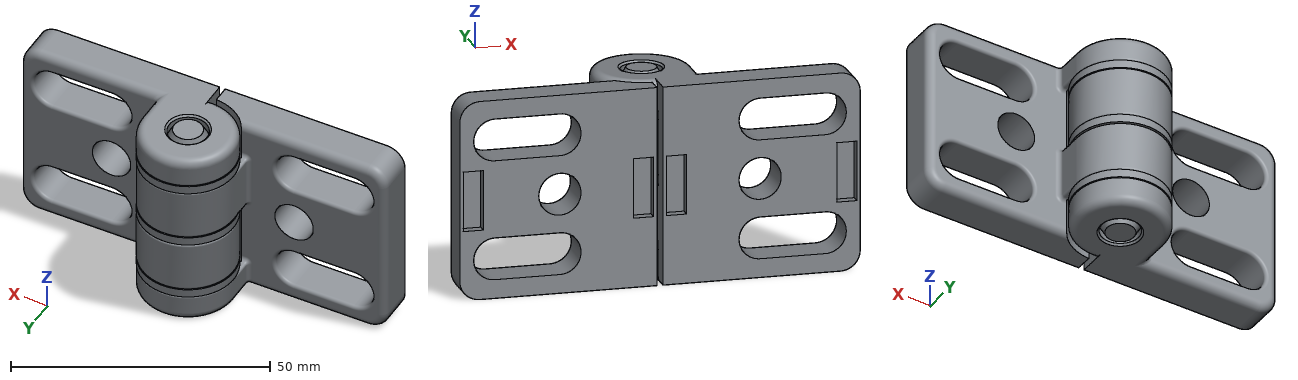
import cadquery as cq
import math

half_width = 40.0
height = 40.0
half_height = height / 2
plate_thickness = 8.0
corner_radius = 4.0
edge_fillet = 1.75
leaf_gap = 1.2
leaf_start = leaf_gap / 2

barrel_radius = 10.0
axis_y = 14.0
barrel_bottom_y = axis_y - barrel_radius
knuckle_end_fillet = 0.5
valley_fillet = 1.0

recess_radius = barrel_radius + 0.4
recess_fillet = 0.35

pin_radius = 4.1
pin_end_radius = 3.0
pin_taper_length = 2.0
bore_chamfer = 0.4

washer_thickness = 1.8
washer_radius = barrel_radius
end_knuckle_height = 6.0
middle_gap_half = 1.0
end_knuckle_inner_z = half_height - end_knuckle_height
middle_knuckle_outer_z = end_knuckle_inner_z - washer_thickness
end_knuckle = (end_knuckle_inner_z, half_height)
middle_knuckle = (-middle_knuckle_outer_z, -middle_gap_half)
washer_tops = (end_knuckle_inner_z, middle_gap_half, -middle_knuckle_outer_z)

hole_diameter = 8.4
hole_x = 20.0
slot_outer_x = 33.0
slot_middle_x = (hole_x + slot_outer_x) / 2
slot_length = slot_outer_x - hole_x + hole_diameter
slot_z = 12.0
slot_fillet = 0.75

pocket_width = 4.0
pocket_height = 12.0
pocket_depth = 2.0
pocket_spread = 34.0
leaf_middle_x = (leaf_start + half_width) / 2
pocket_centers = [(leaf_middle_x + side * pocket_spread / 2, 0) for side in (-1, 1)]

pick = 0.1


def axis_cylinder(radius, z_bottom, z_top):
    """Solid cylinder on the hinge axis."""
    base = cq.Workplane("XY", origin=(0, axis_y, z_bottom))
    return base.circle(radius).extrude(z_top - z_bottom)


def edges_except(face_edges, low, high):
    """The given edges, less those centred in the box from low to high."""
    unwanted = face_edges.edges(cq.selectors.BoxSelector(low, high)).vals()
    return face_edges.filter(lambda edge: not any(edge.isSame(other) for other in unwanted))


def make_plate():
    """Flat plate with rounded outer corners and a rounded back rim on three sides."""
    plate = (
        cq.Workplane("XY", origin=(leaf_start, 0, -half_height))
        .box(half_width - leaf_start, plate_thickness, height, centered=False)
        .edges(">X and |Y")
        .fillet(corner_radius)
    )
    rim = edges_except(
        plate.faces(">Y").edges(),
        (leaf_start - pick, plate_thickness - pick, -pick),
        (leaf_start + pick, plate_thickness + pick, pick),
    )
    return rim.fillet(edge_fillet)


def make_knuckle(z_range, bottom_fillet, top_fillet):
    """Round knuckle whose straight side runs down into the plate."""
    z_bottom, z_top = z_range
    diagonal = barrel_radius * math.sqrt(0.5)
    knuckle = (
        cq.Workplane("XY", origin=(0, 0, z_bottom))
        .moveTo(leaf_start, barrel_bottom_y)
        .lineTo(0, barrel_bottom_y)
        .threePointArc((-diagonal, axis_y + diagonal), (barrel_radius, axis_y))
        .lineTo(barrel_radius, barrel_bottom_y)
        .close()
        .extrude(z_top - z_bottom)
    )
    for face, radius in (("<Z", bottom_fillet), (">Z", top_fillet)):
        rim = edges_except(
            knuckle.faces(face).edges(),
            (leaf_start + pick, barrel_bottom_y - pick, z_bottom - pick),
            (barrel_radius - pick, barrel_bottom_y + pick, z_top + pick),
        )
        knuckle = rim.fillet(radius)
    return knuckle


def round_valley(leaf):
    """Fillet the corner where the straight knuckle sides meet the plate."""
    valley = cq.selectors.BoxSelector(
        (barrel_radius - pick, plate_thickness - pick, -half_height),
        (barrel_radius + pick, plate_thickness + pick, half_height),
    )
    return leaf.edges("|Z").edges(valley).fillet(valley_fillet)


def cut_recesses(leaf):
    """Round recesses for the washers and for the other leaf's knuckles."""
    lower = (-half_height - end_knuckle_height, middle_knuckle[0])
    upper = (middle_knuckle[1], end_knuckle[0])
    for z_range in (lower, upper):
        recess = axis_cylinder(recess_radius, *z_range).edges("%CIRCLE").fillet(recess_fillet)
        leaf = leaf.cut(recess)
    return leaf


def cut_bore(leaf):
    """Pin bore with a small chamfer at the leaf's own end of the barrel."""
    leaf = leaf.cut(axis_cylinder(pin_radius, -half_height, half_height))
    mouth = (
        cq.Workplane("XY", origin=(0, axis_y, half_height))
        .circle(pin_radius + bore_chamfer)
        .workplane(offset=-bore_chamfer)
        .circle(pin_radius)
        .loft()
    )
    return leaf.cut(mouth)


def cut_mounting_holes(leaf):
    """Round hole, and two slots with rounded rims on the back face."""
    hole = cq.Workplane("XZ").center(hole_x, 0).circle(hole_diameter / 2)
    leaf = leaf.cut(hole.extrude(-plate_thickness))
    half_slot = hole_diameter / 2
    for z in (-slot_z, slot_z):
        slot = cq.Workplane("XZ").center(slot_middle_x, z).slot2D(slot_length, hole_diameter)
        leaf = leaf.cut(slot.extrude(-plate_thickness))
        rim = cq.selectors.BoxSelector(
            (slot_middle_x - slot_length / 2 - pick, plate_thickness - pick, z - half_slot - pick),
            (slot_middle_x + slot_length / 2 + pick, plate_thickness + pick, z + half_slot + pick),
            boundingbox=True,
        )
        leaf = leaf.edges(rim).fillet(slot_fillet)
    return leaf


def cut_pockets(leaf):
    """Two shallow rectangular pockets in the mounting face."""
    pockets = cq.Workplane("XZ").pushPoints(pocket_centers).rect(pocket_width, pocket_height)
    return leaf.cut(pockets.extrude(-pocket_depth))


def make_leaf():
    """Leaf on the +X side, with the top knuckle and the lower middle one."""
    leaf = make_plate()
    leaf = leaf.union(make_knuckle(end_knuckle, knuckle_end_fillet, edge_fillet))
    leaf = leaf.union(make_knuckle(middle_knuckle, knuckle_end_fillet, knuckle_end_fillet))
    leaf = round_valley(leaf)
    leaf = cut_recesses(leaf)
    leaf = cut_bore(leaf)
    leaf = cut_mounting_holes(leaf)
    return cut_pockets(leaf)


def make_pin():
    """Hinge pin with a tapered tip at each end."""
    return (
        axis_cylinder(pin_radius, -half_height, half_height)
        .faces("<Z or >Z")
        .edges()
        .chamfer(pin_taper_length, pin_radius - pin_end_radius)
    )


def make_washer(z_top):
    """Washer around the pin, seated against the knuckle above it."""
    z_bottom = z_top - washer_thickness
    bore = axis_cylinder(pin_radius, z_bottom, z_top)
    return axis_cylinder(washer_radius, z_bottom, z_top).cut(bore)


right_leaf = make_leaf()
left_leaf = make_leaf().rotate((0, 0, 0), (0, 1, 0), 180)
pin = make_pin()
washers = [make_washer(z_top) for z_top in washer_tops]

result = cq.Compound.makeCompound(
    [right_leaf.val(), left_leaf.val(), pin.val(), *[washer.val() for washer in washers]]
)